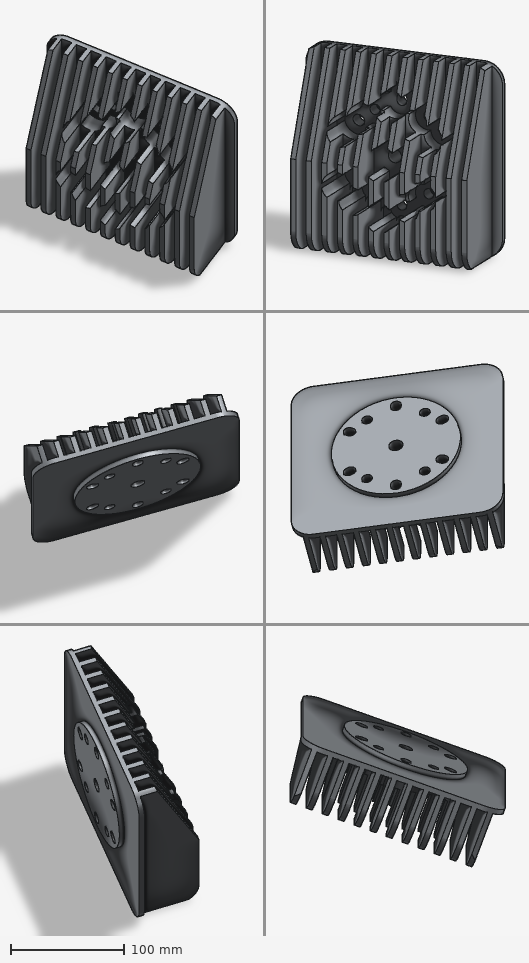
import cadquery as cq
import math


width = 190.0
height = 180.0
thickness = 5.0
corner_radius = 20.0
disc_diameter = 115.9

total_depth = 65.0
fin_count = 12
fin_pitch = 15.0
fin_top_depth = 20.0
fin_slope_height = 93.3
fin_tip = -(total_depth - thickness)
gap_width = fin_pitch - thickness

core_depth = 20.0
floor_front = -2 * thickness
core_front = -thickness - core_depth
floor_half_heights = [58.9, 52.0, 44.6, 35.5]
core_steps = [(3, 81.0), (7, 46.0)]

hole_diameter = 9.5
pocket_diameter = 25.5
slot_travel = 1.9
slot_circle_radius = 48.0
slot_angles = [30, 90, 150, 210, 270, 330]
round_circle_radius = 44.0
round_angle = 54
round_angles = [round_angle, 180 - round_angle, 180 + round_angle, -round_angle]
bore_diameter = 12.5
bore_clearance_diameter = 30.0


def front_plane(y):
    """Sketch plane facing -Y at the given Y, with X to the right and Z up."""
    return cq.Workplane(cq.Plane(origin=(0, y, 0), xDir=(1, 0, 0), normal=(0, -1, 0)))


def rounded_block(depth):
    """Block on the plate outline, reaching from Y = 0 towards -Y."""
    return front_plane(0).rect(width, height).extrude(depth).edges("|Y").fillet(corner_radius)


def make_fins():
    """Row of fins with a sloped upper front and a rounded lower front."""
    top = height / 2
    profile = (
        cq.Workplane("YZ")
        .moveTo(0, top)
        .lineTo(-fin_top_depth, top)
        .lineTo(fin_tip, top - fin_slope_height)
        .lineTo(fin_tip, -top + corner_radius)
        .radiusArc((fin_tip + corner_radius, -top), -corner_radius)
        .lineTo(0, -top)
        .close()
    )
    fin = profile.extrude(thickness / 2, both=True)
    fins = cq.Workplane("XY")
    for index in range(fin_count):
        x = (index - (fin_count - 1) / 2) * fin_pitch
        fins = fins.union(fin.translate((x, 0, 0)))
    return fins.intersect(rounded_block(total_depth))


def gap_floor(x, half_height):
    """Thin floor in one gap, scooped to a half circle at both ends."""
    left = x - gap_width / 2
    right = x + gap_width / 2
    shoulder = half_height + gap_width / 2
    return (
        front_plane(0)
        .moveTo(left, -shoulder)
        .threePointArc((x, -half_height), (right, -shoulder))
        .lineTo(right, shoulder)
        .threePointArc((x, half_height), (left, shoulder))
        .close()
        .extrude(-floor_front)
    )


def make_filling():
    """Stepped core across the middle gaps, plus the floor of every filled gap."""
    filling = cq.Workplane("XY")
    for gaps, core_height in core_steps:
        step = front_plane(0).rect(gaps * fin_pitch, core_height).extrude(-core_front)
        filling = filling.union(step)
    outermost = len(floor_half_heights) - 1
    for gap in range(-outermost, outermost + 1):
        filling = filling.union(gap_floor(gap * fin_pitch, floor_half_heights[abs(gap)]))
    return filling


def polar_point(radius, angle):
    """X and Z of a point on a circle about the part's centre."""
    return radius * math.cos(math.radians(angle)), radius * math.sin(math.radians(angle))


def screw_cuts(diameter, start, end):
    """Round and radially slotted cuts at every screw position, from start towards -Y to end."""
    depth = start - end
    cuts = cq.Workplane("XY")
    for angle in round_angles:
        x, z = polar_point(round_circle_radius, angle)
        cuts = cuts.union(front_plane(start).center(x, z).circle(diameter / 2).extrude(depth))
    for angle in slot_angles:
        x, z = polar_point(slot_circle_radius, angle)
        slot = front_plane(start).center(x, z).slot2D(diameter + slot_travel, diameter, angle)
        cuts = cuts.union(slot.extrude(depth))
    return cuts


plate = rounded_block(thickness)
disc = front_plane(thickness).circle(disc_diameter / 2).extrude(thickness)
bore = front_plane(thickness).circle(bore_diameter / 2).extrude(total_depth)
bore_clearance = front_plane(core_front).circle(bore_clearance_diameter / 2).extrude(total_depth)

result = (
    plate.union(disc)
    .union(make_fins())
    .union(make_filling())
    .cut(screw_cuts(pocket_diameter, floor_front, fin_tip))
    .cut(screw_cuts(hole_diameter, thickness, fin_tip))
    .cut(bore_clearance)
    .cut(bore)
)